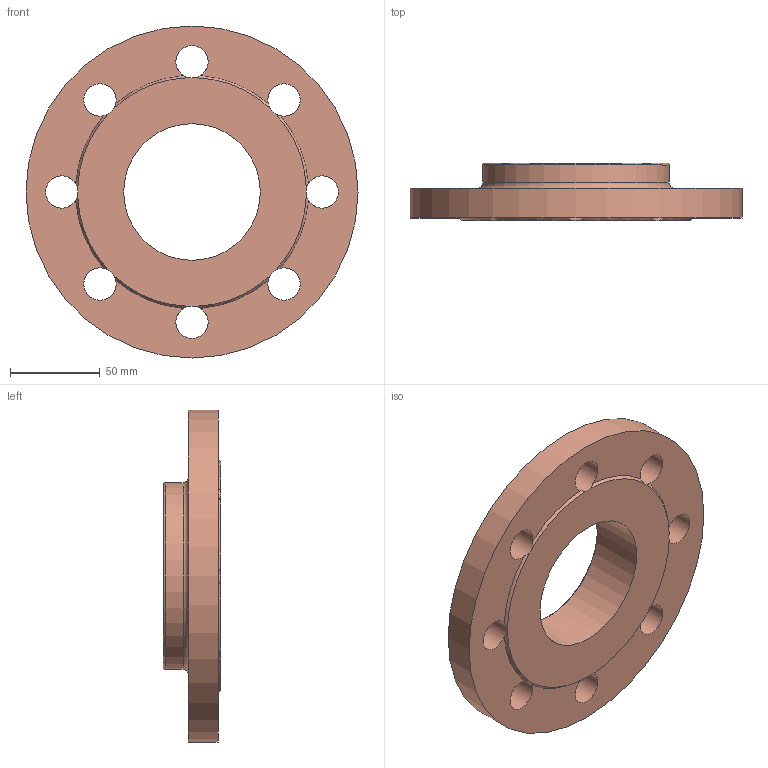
import cadquery as cq

flange_diameter = 185.0
flange_thickness = 16.5

face_height = 1.5
face_tip_diameter = 127.5
face_root_diameter = 130.0

overall_length = 32.0
hub_diameter = 104.0
hub_root_radius = 3.0
hub_edge_radius = 1.0

bore_diameter = 76.1
bore_chamfer = 1.0

bolt_count = 8
bolt_circle_diameter = 145.0
bolt_hole_diameter = 18.0

front_y = 0.0
flange_front_y = front_y + face_height
flange_back_y = flange_front_y + flange_thickness
back_y = front_y + overall_length


def flange_body():
    """Bored flange with raised face and hub, revolved about Y."""
    bore_radius = bore_diameter / 2
    flange_radius = flange_diameter / 2
    hub_radius = hub_diameter / 2
    meridian_plane = cq.Plane(origin=(0, 0, 0), xDir=(0, 0, 1), normal=(-1, 0, 0))
    profile = (
        cq.Workplane(meridian_plane)
        .moveTo(bore_radius, front_y)
        .lineTo(face_tip_diameter / 2, front_y)
        .lineTo(face_root_diameter / 2, flange_front_y)
        .lineTo(flange_radius, flange_front_y)
        .lineTo(flange_radius, flange_back_y)
        .lineTo(hub_radius + hub_root_radius, flange_back_y)
        .radiusArc((hub_radius, flange_back_y + hub_root_radius), hub_root_radius)
        .lineTo(hub_radius, back_y - hub_edge_radius)
        .radiusArc((hub_radius - hub_edge_radius, back_y), -hub_edge_radius)
        .lineTo(bore_radius + bore_chamfer, back_y)
        .lineTo(bore_radius, back_y - bore_chamfer)
        .close()
    )
    return profile.revolve(360, (0, 0, 0), (0, 1, 0))


def bolt_holes():
    """Through-hole cutters, evenly spaced with the first on +X."""
    return (
        cq.Workplane("XZ", origin=(0, back_y, 0))
        .polarArray(bolt_circle_diameter / 2, 0, 360, bolt_count)
        .circle(bolt_hole_diameter / 2)
        .extrude(overall_length)
    )


result = flange_body().cut(bolt_holes())